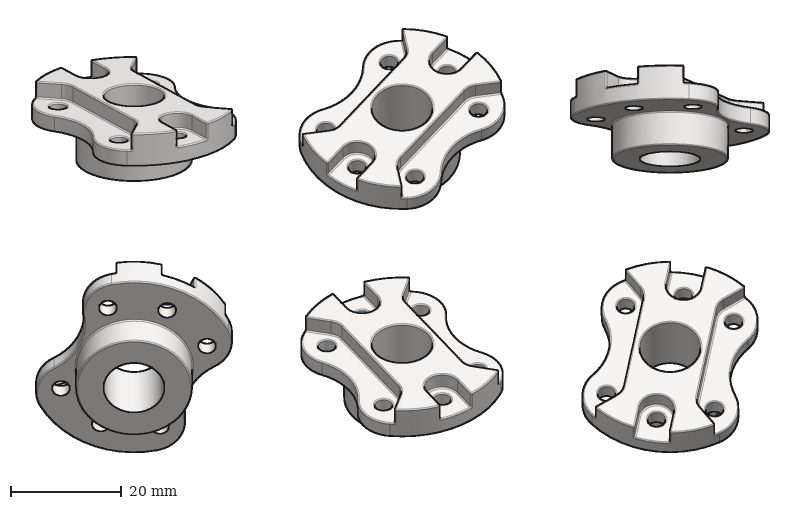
import cadquery as cq
import math

OUTER_RADIUS = 19.05
HALF_DEPTH = 14.2
PLATE_THICKNESS = 6.35
WAIST_HALF_DEPTH = 11.2

OVERALL_HEIGHT = 12.7
BOSS_RADIUS = 10.47
BORE_RADIUS = 5.5
HOLE_RADIUS = 1.6
BOLT_CIRCLE_RADIUS = 13.98

RECESS_DEPTH = 3.2
RECESS_RADIUS = 3.2

EDGE_ROUND = 0.248

TOLERANCE = 0.005

CLEARANCE = 7.6

CORNER = BOLT_CIRCLE_RADIUS * math.sin(math.pi / 4)
FLOOR_Z = -RECESS_DEPTH

EAR_RADIUS = (OUTER_RADIUS**2 - CORNER**2 - HALF_DEPTH**2) / (2 * (OUTER_RADIUS - HALF_DEPTH))
EAR_Y = HALF_DEPTH - EAR_RADIUS

WAIST_RISE = WAIST_HALF_DEPTH - EAR_Y
WAIST_RADIUS = (CORNER**2 + WAIST_RISE**2 - EAR_RADIUS**2) / (2 * (EAR_RADIUS - WAIST_RISE))

RIM_TANGENT = (
    CORNER * OUTER_RADIUS / (OUTER_RADIUS - EAR_RADIUS),
    EAR_Y * OUTER_RADIUS / (OUTER_RADIUS - EAR_RADIUS),
)
WAIST_SHARE = EAR_RADIUS / (EAR_RADIUS + WAIST_RADIUS)
WAIST_TANGENT = (
    CORNER * (1 - WAIST_SHARE),
    EAR_Y + (WAIST_RISE + WAIST_RADIUS) * WAIST_SHARE,
)


def flange_plate():
    """Two-lobed plate below z = 0, all outline arcs tangent to each other."""
    rim_x, rim_y = RIM_TANGENT
    waist_x, waist_y = WAIST_TANGENT
    return (
        cq.Workplane("XY")
        .moveTo(rim_x, -rim_y)
        .threePointArc((OUTER_RADIUS, 0), (rim_x, rim_y))
        .threePointArc((CORNER, HALF_DEPTH), (waist_x, waist_y))
        .threePointArc((0, WAIST_HALF_DEPTH), (-waist_x, waist_y))
        .threePointArc((-CORNER, HALF_DEPTH), (-rim_x, rim_y))
        .threePointArc((-OUTER_RADIUS, 0), (-rim_x, -rim_y))
        .threePointArc((-CORNER, -HALF_DEPTH), (-waist_x, -waist_y))
        .threePointArc((0, -WAIST_HALF_DEPTH), (waist_x, -waist_y))
        .threePointArc((CORNER, -HALF_DEPTH), (rim_x, -rim_y))
        .close()
        .extrude(-PLATE_THICKNESS)
    )


def long_recess():
    """Recess along the +Y edge: straight wall that bends out at 45 degrees around both corner holes."""
    wall_y = CORNER - RECESS_RADIUS
    bend = math.pi / 8
    mid_x = CORNER + RECESS_RADIUS * math.sin(bend)
    mid_y = CORNER - RECESS_RADIUS * math.cos(bend)
    end_offset = RECESS_RADIUS * math.sin(math.pi / 4)
    end_x = CORNER + end_offset
    end_y = CORNER - end_offset
    far_x = OUTER_RADIUS + CLEARANCE
    far_y = end_y + far_x - end_x
    return (
        cq.Workplane("XY")
        .moveTo(-CORNER, wall_y)
        .lineTo(CORNER, wall_y)
        .threePointArc((mid_x, mid_y), (end_x, end_y))
        .lineTo(far_x, far_y)
        .lineTo(-far_x, far_y)
        .lineTo(-end_x, end_y)
        .threePointArc((-mid_x, mid_y), (-CORNER, wall_y))
        .close()
        .extrude(FLOOR_Z)
    )


def side_slot():
    """Round-ended slot around the side hole, open through the +X rim."""
    far_x = OUTER_RADIUS + CLEARANCE
    return (
        cq.Workplane("XY")
        .moveTo(far_x, RECESS_RADIUS)
        .lineTo(BOLT_CIRCLE_RADIUS, RECESS_RADIUS)
        .threePointArc((BOLT_CIRCLE_RADIUS - RECESS_RADIUS, 0), (BOLT_CIRCLE_RADIUS, -RECESS_RADIUS))
        .lineTo(far_x, -RECESS_RADIUS)
        .close()
        .extrude(FLOOR_Z)
    )


def hole_points():
    """Two holes on the X axis and one in each corner."""
    points = [(side * BOLT_CIRCLE_RADIUS, 0) for side in (-1, 1)]
    points += [(sx * CORNER, sy * CORNER) for sx in (-1, 1) for sy in (-1, 1)]
    return points


def cylinder(points, radius, top_z, bottom_z):
    return (
        cq.Workplane("XY")
        .workplane(offset=top_z)
        .pushPoints(points)
        .circle(radius)
        .extrude(bottom_z - top_z)
    )


def is_upper_hole_rim(edge):
    """True for the circles where the bore and the screw holes break the upper faces."""
    if edge.geomType() != "CIRCLE" or edge.Center().z < FLOOR_Z - TOLERANCE:
        return False
    return any(abs(edge.radius() - radius) < TOLERANCE for radius in (HOLE_RADIUS, BORE_RADIUS))


def is_boss_root(edge):
    """True for the circle where the boss meets the underside of the plate."""
    if edge.geomType() != "CIRCLE" or abs(edge.Center().z + PLATE_THICKNESS) > TOLERANCE:
        return False
    return abs(edge.radius() - BOSS_RADIUS) < TOLERANCE


plate = flange_plate()
for angle in (0, 180):
    plate = plate.cut(long_recess().rotate((0, 0, 0), (0, 0, 1), angle))
    plate = plate.cut(side_slot().rotate((0, 0, 0), (0, 0, 1), angle))

plate = plate.edges().fillet(EDGE_ROUND)

boss = cylinder([(0, 0)], BOSS_RADIUS, -PLATE_THICKNESS, -OVERALL_HEIGHT)
boss = boss.faces("<Z").edges().fillet(EDGE_ROUND)
body = plate.union(boss)
body = body.edges().filter(is_boss_root).fillet(EDGE_ROUND)

body = body.cut(cylinder([(0, 0)], BORE_RADIUS, 0, -OVERALL_HEIGHT))
body = body.cut(cylinder(hole_points(), HOLE_RADIUS, 0, -PLATE_THICKNESS))
result = body.edges().filter(is_upper_hole_rim).fillet(EDGE_ROUND)